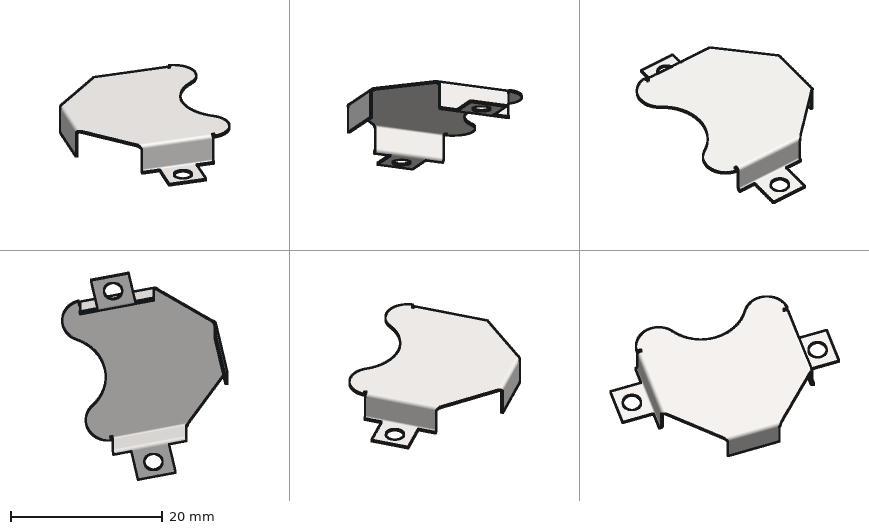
import cadquery as cq
import math


thickness = 0.25
inner_bend = 0.25
outer_bend = inner_bend + thickness
foot_inner_bend = 0.25
foot_outer_bend = foot_inner_bend + thickness
height = 4.0

bend_taper = 0.45
keeper_margin = thickness / 2
quarter_turn = 90

wall_x = 10.55
side_wall_half = 4.95
side_bend_x = wall_x - outer_bend
foot_bend_x = wall_x + foot_inner_bend

tab_end_x = 15.1
tab_width = 5.1
hole_x = 12.95
hole_diameter = 2.4

front_y = -11.95
front_bend_y = front_y + outer_bend
front_wall_half = 3.6
front_bend_half = front_wall_half + bend_taper

corner_y = -side_wall_half - bend_taper
lobe_x = 7.55
lobe_y = 4.95
lobe_radius = wall_x - lobe_x
hollow_bottom_y = 3.85

slot_width = 0.25
slot_overcut = 0.1
slot_inner_x = side_bend_x - slot_overcut

hollow_rise = hollow_bottom_y - lobe_y
hollow_radius = (lobe_x**2 + hollow_rise**2 - lobe_radius**2) / (2 * (lobe_radius - hollow_rise))
hollow_y = hollow_bottom_y + hollow_radius

diagonal = math.sqrt(0.5)


def bend_arc(sketch, center, radius, direction, end):
    """Add a quarter arc whose midpoint lies diagonally from its center."""
    offset = radius * diagonal
    middle = (center[0] + direction[0] * offset, center[1] + direction[1] * offset)
    return sketch.threePointArc(middle, end)


def make_plate():
    """Flat top plate up to the bend lines, with lobes and relief slots."""
    share = lobe_radius / (lobe_radius + hollow_radius)
    tangent_x = lobe_x * (1 - share)
    tangent_y = lobe_y + share * (hollow_y - lobe_y)
    slot_top_y = side_wall_half + slot_width
    slot_edge_x = lobe_x + math.sqrt(lobe_radius**2 - (slot_top_y - lobe_y) ** 2)
    lobe_top_y = lobe_y + lobe_radius
    return (
        cq.Workplane("XY", origin=(0, 0, height - thickness))
        .moveTo(-front_bend_half, front_bend_y)
        .lineTo(front_bend_half, front_bend_y)
        .lineTo(side_bend_x, corner_y)
        .lineTo(side_bend_x, side_wall_half)
        .lineTo(slot_inner_x, side_wall_half)
        .lineTo(slot_inner_x, slot_top_y)
        .lineTo(slot_edge_x, slot_top_y)
        .threePointArc((lobe_x, lobe_top_y), (tangent_x, tangent_y))
        .threePointArc((0, hollow_bottom_y), (-tangent_x, tangent_y))
        .threePointArc((-lobe_x, lobe_top_y), (-slot_edge_x, slot_top_y))
        .lineTo(-slot_inner_x, slot_top_y)
        .lineTo(-slot_inner_x, side_wall_half)
        .lineTo(-side_bend_x, side_wall_half)
        .lineTo(-side_bend_x, corner_y)
        .close()
        .extrude(thickness)
    )


def make_quarter_ring(plane, inner_radius, outer_radius):
    """Closed quarter ring between the local X and Y axes of a plane."""
    ring = cq.Workplane(plane).moveTo(inner_radius, 0).lineTo(outer_radius, 0)
    ring = bend_arc(ring, (0, 0), outer_radius, (1, 1), (0, outer_radius))
    ring = ring.lineTo(0, inner_radius)
    return bend_arc(ring, (0, 0), inner_radius, (1, 1), (inner_radius, 0)).close()


def make_tapered_bend_end(plane):
    """End of a bend that shrinks from a full quarter turn to nothing at the plate.

    The plane sits on the bend axis: X points out to the wall, Y up to the plate
    and the normal along the axis, away from the wall.
    """
    bend = make_quarter_ring(plane, inner_bend, outer_bend).extrude(bend_taper)
    keeper = make_quarter_ring(plane, inner_bend - keeper_margin, outer_bend + keeper_margin)
    keeper = keeper.twistExtrude(bend_taper, quarter_turn)
    return bend.intersect(keeper)


def make_side():
    """Right side bend, wall and foot, with the tapered front end of the bend."""
    top_center = (side_bend_x, height - outer_bend)
    foot_center = (foot_bend_x, foot_outer_bend)
    inner_x = wall_x - thickness
    up_out = (1, 1)
    down_in = (-1, -1)

    profile = cq.Workplane("XZ", origin=(0, side_wall_half, 0)).moveTo(side_bend_x, height)
    profile = bend_arc(profile, top_center, outer_bend, up_out, (wall_x, top_center[1]))
    profile = profile.lineTo(wall_x, foot_outer_bend)
    profile = bend_arc(profile, foot_center, foot_inner_bend, down_in, (foot_bend_x, thickness))
    profile = profile.lineTo(foot_bend_x, 0)
    profile = bend_arc(profile, foot_center, foot_outer_bend, down_in, (inner_x, foot_outer_bend))
    profile = profile.lineTo(inner_x, top_center[1])
    profile = bend_arc(profile, top_center, inner_bend, up_out, (side_bend_x, height - thickness))
    strip = profile.close().extrude(2 * side_wall_half)

    front_end = cq.Plane((side_bend_x, -side_wall_half, height - outer_bend), (1, 0, 0), (0, -1, 0))
    return strip.union(make_tapered_bend_end(front_end))


def make_tab():
    """Right mounting tab with its hole."""
    return (
        cq.Workplane("XY")
        .center((foot_bend_x + tab_end_x) / 2, 0)
        .rect(tab_end_x - foot_bend_x, tab_width)
        .extrude(thickness)
        .cut(cq.Workplane("XY").center(hole_x, 0).circle(hole_diameter / 2).extrude(thickness))
    )


def make_front():
    """Front bend and wall, with a tapered end on each side of the bend."""
    center = (front_bend_y, height - outer_bend)
    inner_y = front_y + thickness
    up_out = (-1, 1)

    profile = cq.Workplane("YZ", origin=(-front_wall_half, 0, 0)).moveTo(front_bend_y, height)
    profile = bend_arc(profile, center, outer_bend, up_out, (front_y, center[1]))
    profile = profile.lineTo(front_y, 0).lineTo(inner_y, 0).lineTo(inner_y, center[1])
    profile = bend_arc(profile, center, inner_bend, up_out, (front_bend_y, height - thickness))
    strip = profile.close().extrude(2 * front_wall_half)

    left_end = cq.Plane((-front_wall_half, front_bend_y, height - outer_bend), (0, -1, 0), (-1, 0, 0))
    tapered_end = make_tapered_bend_end(left_end)
    return strip.union(tapered_end).union(tapered_end.mirror("YZ"))


right_side = make_side().union(make_tab())
left_side = right_side.mirror("YZ")
result = make_plate().union(make_front()).union(right_side).union(left_side)